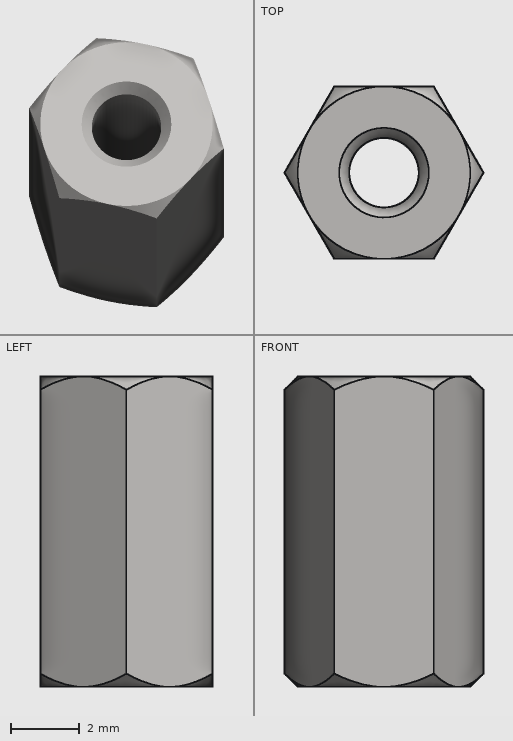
import cadquery as cq
import math

across_flats = 5.0
length = 9.0
bore_diameter = 2.01
countersink_diameter = 2.6
edge_chamfer_angle = 45.0
countersink_angle = 90.0

across_corners = across_flats / math.cos(math.radians(30))
corner_radius = across_corners / 2
end_face_radius = across_flats / 2
corner_drop = (corner_radius - end_face_radius) * math.tan(math.radians(edge_chamfer_angle))

bore_radius = bore_diameter / 2
countersink_radius = countersink_diameter / 2
countersink_depth = (countersink_radius - bore_radius) / math.tan(math.radians(countersink_angle / 2))


def revolve_profile(points):
    """Revolve a closed (radius, height) outline about the Z axis."""
    return cq.Workplane("XZ").polyline(points).close().revolve(360, (0, 0, 0), (0, 1, 0))


def hexagonal_bar():
    """Hexagonal prism with two opposite corners on the X axis."""
    return cq.Workplane("XY").polygon(6, across_corners).extrude(length)


def chamfer_envelope():
    """Cylinder with coned ends that trims the corners of the bar."""
    return revolve_profile([
        (0, 0),
        (end_face_radius, 0),
        (corner_radius, corner_drop),
        (corner_radius, length - corner_drop),
        (end_face_radius, length),
        (0, length),
    ])


def countersunk_bore():
    """Through bore with a conical countersink at both ends."""
    return revolve_profile([
        (0, 0),
        (countersink_radius, 0),
        (bore_radius, countersink_depth),
        (bore_radius, length - countersink_depth),
        (countersink_radius, length),
        (0, length),
    ])


result = hexagonal_bar().intersect(chamfer_envelope()).cut(countersunk_bore())